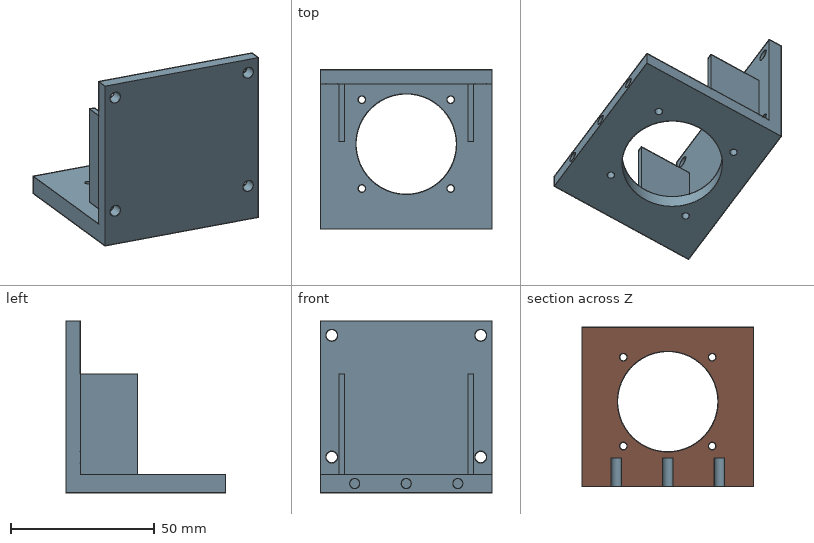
import cadquery as cq

width = 60.0
depth = 55.7
height = 60.0
wall_thickness = 5.0
base_thickness = 6.5
wall_back_y = wall_thickness
base_front_y = wall_thickness - depth

bore_diameter = 35.0
bore_center_y = -21.0
motor_screw_diameter = 2.53
motor_screw_spacing = 31.0

rib_gap = 43.0
rib_thickness = 2.0
rib_length = 20.0
rib_height = 35.0

mount_hole_diameter = 4.0
mount_hole_spacing_x = 52.0
mount_hole_spacing_z = 42.5
lowest_mount_hole_z = 12.5

edge_hole_diameter = 3.5
edge_hole_pitch = 18.0
edge_hole_depth = 10.0


def block(x_size, y_min, y_max, z_min, z_max, x_center=0.0):
    """Box between the given Y and Z limits, centred on x_center."""
    size_y = y_max - y_min
    size_z = z_max - z_min
    box = cq.Workplane("XY").box(x_size, size_y, size_z, centered=(True, False, False))
    return box.translate((x_center, y_min, z_min))


def angle_bracket():
    """Base plate and upright wall joined in an L."""
    base = block(width, base_front_y, wall_back_y, 0, base_thickness)
    wall = block(width, 0, wall_back_y, 0, height)
    return base.union(wall)


def ribs():
    """Pair of thin upright ribs on either side of the motor."""
    center_x = (rib_gap + rib_thickness) / 2
    rib_top_z = base_thickness + rib_height
    left, right = [
        block(rib_thickness, -rib_length, 0, base_thickness, rib_top_z, side * center_x)
        for side in (-1, 1)
    ]
    return left.union(right)


def motor_openings():
    """Cutters for the bore and the four motor screws, through the base."""
    plane = cq.Workplane("XY").center(0, bore_center_y)
    bore = plane.circle(bore_diameter / 2).extrude(base_thickness)
    screws = (
        plane.rect(motor_screw_spacing, motor_screw_spacing, forConstruction=True)
        .vertices()
        .circle(motor_screw_diameter / 2)
        .extrude(base_thickness)
    )
    return bore.union(screws)


def mount_holes():
    """Cutters for the four holes through the wall."""
    center_z = lowest_mount_hole_z + mount_hole_spacing_z / 2
    return (
        cq.Workplane("XZ", origin=(0, wall_back_y, center_z))
        .rect(mount_hole_spacing_x, mount_hole_spacing_z, forConstruction=True)
        .vertices()
        .circle(mount_hole_diameter / 2)
        .extrude(wall_thickness)
    )


def edge_holes():
    """Cutters for the row of three blind holes, at mid-thickness of the base."""
    return (
        cq.Workplane("XZ", origin=(0, base_front_y, base_thickness / 2))
        .pushPoints([(i * edge_hole_pitch, 0) for i in (-1, 0, 1)])
        .circle(edge_hole_diameter / 2)
        .extrude(-edge_hole_depth)
    )


result = (
    angle_bracket()
    .union(ribs())
    .cut(motor_openings())
    .cut(mount_holes())
    .cut(edge_holes())
)